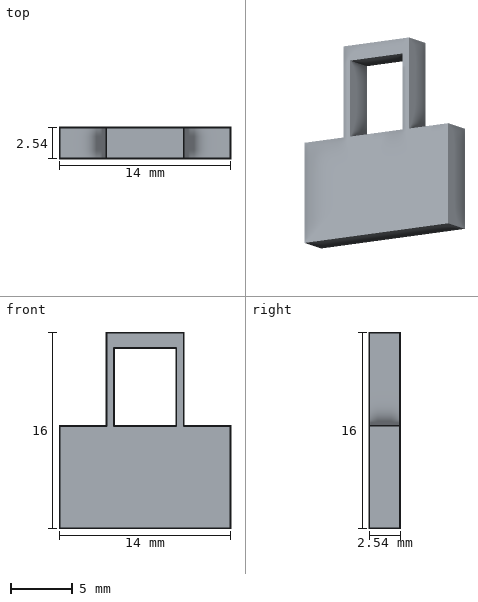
import cadquery as cq

thickness = 2.54
body_width = 13.97
body_height = 8.38
handle_width = 6.35
window_width = 5.08
window_height = 6.35
crossbar_height = 1.27

handle_height = window_height + crossbar_height


def make_block(width, height, base_z):
    """Full-thickness block centred on X and Y, standing on base_z."""
    block = cq.Workplane("XY").box(width, thickness, height, centered=(True, True, False))
    return block.translate((0, 0, base_z))


body = make_block(body_width, body_height, 0)

handle = make_block(handle_width, handle_height, body_height)
window = make_block(window_width, window_height, body_height)

result = body.union(handle.cut(window))